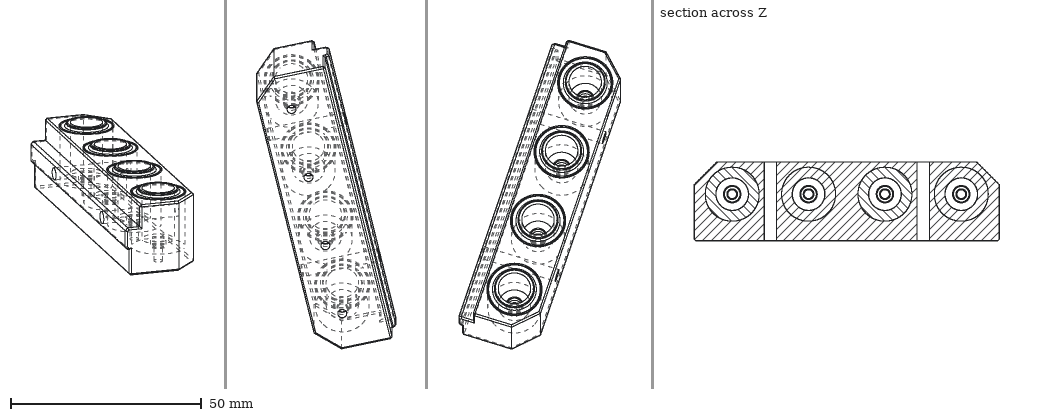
import cadquery as cq

length = 80.0
total_depth = 20.7
housing_height = 19.0
upper_setback = 4.0
lower_setback = 1.0
lip_bottom = 7.0
lip_top = 13.0
rear_corner_cut = 6.0
edge_chamfer = 0.5
lip_chamfer = 0.7

cross_hole_diameter = 3.2
cross_hole_spacing = 40.0
cross_hole_height = (lip_bottom + lip_top) / 2

bushing_count = 4
bushing_pitch = length / bushing_count
bushing_rear_distance = 8.5
bushing_y = total_depth - bushing_rear_distance
bushing_bottom = 4.0
bushing_diameter = 14.0
collar_diameter = 10.5
collar_base_diameter = 11.5
collar_height = 1.0
bore_diameter = 8.5
bushing_floor = 2.0
port_diameter = 4.1
fine_chamfer = 0.2

outlet_diameter = 2.3

bushing_places = [
    ((index - (bushing_count - 1) / 2) * bushing_pitch, bushing_y) for index in range(bushing_count)
]


def make_block():
    """Stepped block with cut rear corners and chamfered edges, its lip face at Y = 0."""
    side_profile = [
        (total_depth, 0),
        (lower_setback, 0),
        (lower_setback, lip_bottom),
        (0, lip_bottom),
        (0, lip_top),
        (upper_setback, lip_top),
        (upper_setback, housing_height),
        (total_depth, housing_height),
    ]
    block = cq.Workplane("YZ").polyline(side_profile).close().extrude(length / 2, both=True)
    block = block.faces(">Y").edges("|Z").chamfer(rear_corner_cut)
    block = block.faces("<Y").edges("|X").chamfer(lip_chamfer)

    end_outlines = block.faces("<X or >X").edges("not (|Z and >Y)")
    rims = block.faces("<Z or >Z").edges("not |Y")
    return end_outlines.add(rims).chamfer(edge_chamfer)


def make_housing():
    """Block with cross holes, bushing seats and an outlet below each seat."""
    cross_hole_places = [(side * cross_hole_spacing / 2, cross_hole_height) for side in (-1, 1)]
    cross_holes = (
        cq.Workplane("XZ")
        .pushPoints(cross_hole_places)
        .circle(cross_hole_diameter / 2)
        .extrude(-total_depth)
    )
    housing = make_block().cut(cross_holes)
    for place in bushing_places:
        housing = housing.cut(make_seat_and_outlet().translate((*place, 0)))
    return housing


def make_seat_and_outlet():
    """Cutter for one bushing seat and the outlet below it, each with a chamfered mouth."""
    outlet_radius = outlet_diameter / 2
    seat_radius = bushing_diameter / 2
    half_section = [
        (0, 0),
        (outlet_radius, 0),
        (outlet_radius, bushing_bottom - fine_chamfer),
        (outlet_radius + fine_chamfer, bushing_bottom),
        (seat_radius, bushing_bottom),
        (seat_radius, housing_height - fine_chamfer),
        (seat_radius + fine_chamfer, housing_height),
        (0, housing_height),
    ]
    return cq.Workplane("XZ").polyline(half_section).close().revolve()


def make_bushing():
    """Open cup with a raised collar on top and a port through its floor."""
    bushing_radius = bushing_diameter / 2
    collar_radius = collar_diameter / 2
    collar_base_radius = collar_base_diameter / 2
    bore_radius = bore_diameter / 2
    port_radius = port_diameter / 2
    collar_top = housing_height + collar_height
    bore_bottom = bushing_bottom + bushing_floor
    half_section = [
        (port_radius, bushing_bottom),
        (bushing_radius, bushing_bottom),
        (bushing_radius, housing_height - fine_chamfer),
        (bushing_radius - fine_chamfer, housing_height),
        (collar_base_radius, housing_height),
        (collar_radius, housing_height + collar_base_radius - collar_radius),
        (collar_radius, collar_top - fine_chamfer),
        (collar_radius - fine_chamfer, collar_top),
        (bore_radius, collar_top),
        (bore_radius, bore_bottom),
        (port_radius + fine_chamfer, bore_bottom),
        (port_radius, bore_bottom - fine_chamfer),
    ]
    return cq.Workplane("XZ").polyline(half_section).close().revolve()


housing = make_housing()
bushings = [make_bushing().translate((*place, 0)) for place in bushing_places]

result = cq.Compound.makeCompound([housing.val(), *[bushing.val() for bushing in bushings]])